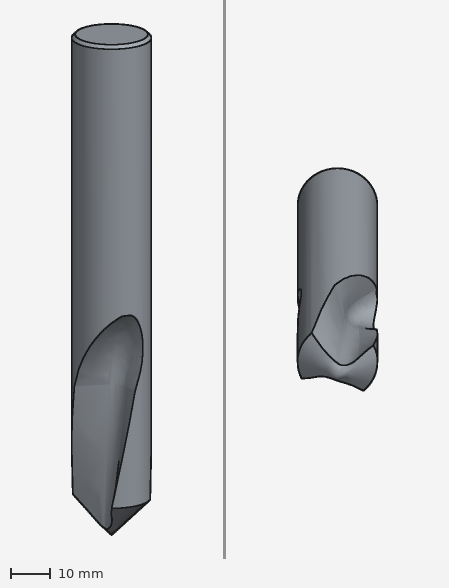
import cadquery as cq
import math

length = 131.0
diameter = 20.0
radius = diameter / 2
end_chamfer = 0.9
point_height = radius

flute_count = 2
flute_end = 40.1
flute_twist = 48.0
runout_length = diameter
runout_twist = 30.0
runout_lift = 7.9
lift_power = 2.5
runout_steps = 8

corner = (2.8, -0.9)
shallow_angle = math.atan(0.5)
steep_angle = math.radians(45)
floor_radius = 3.9
wall_reach = 21.0


def make_blank():
    """Round shank with a conical point and a chamfered top."""
    profile = (
        cq.Workplane("XZ")
        .moveTo(0, 0)
        .lineTo(radius, point_height)
        .lineTo(radius, length - end_chamfer)
        .lineTo(radius - end_chamfer, length)
        .lineTo(0, length)
        .close()
    )
    return profile.revolve(360, (0, 0, 0), (0, 1, 0))


def from_corner(distance, angle):
    """Point at a distance from the corner, along a direction in radians."""
    return (corner[0] + distance * math.cos(angle), corner[1] + distance * math.sin(angle))


def flute_section(height, angle, lift):
    """Flute section at a height, lifted outward and then turned about Z."""
    half_bend = (shallow_angle + steep_angle) / 2
    tangent_length = floor_radius * math.tan(half_bend)
    arc_depth = floor_radius * (1 / math.cos(half_bend) - 1)
    shallow_direction = math.pi + shallow_angle
    steep_direction = -steep_angle
    middle_direction = (shallow_angle - steep_angle - math.pi) / 2
    plane = cq.Plane(origin=(0, 0, height)).rotated((0, 0, angle))
    return (
        cq.Workplane(plane)
        .center(0, -lift)
        .moveTo(*from_corner(wall_reach, shallow_direction))
        .lineTo(*from_corner(tangent_length, shallow_direction))
        .threePointArc(
            from_corner(arc_depth, middle_direction),
            from_corner(tangent_length, steep_direction),
        )
        .lineTo(*from_corner(wall_reach, steep_direction))
        .close()
    )


def make_flute():
    """Full-depth helical cut from the point up to the runout."""
    return flute_section(0, -flute_twist, 0).twistExtrude(flute_end, flute_twist)


def make_runout():
    """Continuation of the flute that turns and lifts out of the shank."""
    sections = []
    for step in range(runout_steps + 1):
        progress = step / runout_steps
        height = flute_end + runout_length * progress
        angle = runout_twist * math.sin(math.pi / 2 * progress)
        lift = runout_lift * progress**lift_power
        sections.append(flute_section(height, angle, lift).wires().val())
    return cq.Workplane(cq.Solid.makeLoft(sections))


result = make_blank()
flute_cutters = [make_flute(), make_runout()]
for index in range(flute_count):
    turn = 360 / flute_count * index
    for cutter in flute_cutters:
        result = result.cut(cutter.rotate((0, 0, 0), (0, 0, 1), turn))